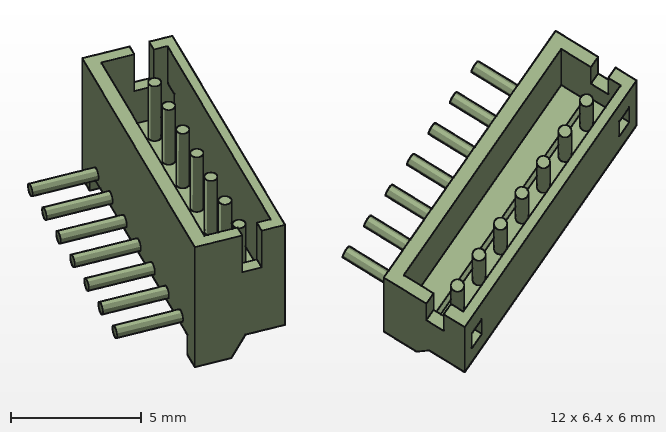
import cadquery as cq
import math

length = 12.0
depth = 3.7
height = 6.0
end_wall = 0.5
front_wall = 0.59
back_wall = 0.4

foot_width = 0.8
foot_height = 1.0
foot_bottom_depth = 1.5
slope_angle = math.radians(60)

low_floor = 2.0
step_width = 0.3
step_back = 1.95
high_floor = low_floor + step_width * math.tan(slope_angle)

notch_width = 0.79
notch_bottom = 4.16
window_width = 0.7

pin_count = 7
pin_pitch = 1.5
pin_diameter = 0.5
pin_y = 2.39
pin_top = 5.25
tail_z = 1.4
tail_length = 2.7


def box(x, y, z, size_x, size_y, size_z):
    """Box centred on x, starting at y and z."""
    return cq.Workplane("XY").box(size_x, size_y, size_z, centered=(True, False, False)).translate((x, y, z))


def side_profile(points, width):
    """Closed YZ outline extruded symmetrically about X = 0."""
    return cq.Workplane("YZ").polyline(points).close().extrude(width / 2, both=True)


def make_body():
    foot_slope_depth = foot_height / math.tan(slope_angle)
    outline = [
        (0, 0),
        (foot_bottom_depth, 0),
        (foot_bottom_depth + foot_slope_depth, foot_height),
        (depth, foot_height),
        (depth, height),
        (0, height),
    ]
    gap_between_feet = box(0, 0, 0, length - 2 * foot_width, depth, foot_height)
    return side_profile(outline, length).cut(gap_between_feet)


def make_cavity():
    outline = [
        (front_wall, low_floor),
        (step_back - step_width, low_floor),
        (step_back, high_floor),
        (depth - back_wall, high_floor),
        (depth - back_wall, height),
        (front_wall, height),
    ]
    return side_profile(outline, length - 2 * end_wall)


def make_pin(x):
    """L-shaped round pin: upright contact joined to a tail leaving the front."""
    radius = pin_diameter / 2
    contact = cq.Workplane("XY", origin=(x, pin_y, tail_z)).circle(radius).extrude(pin_top - tail_z)
    tail = cq.Workplane("XZ", origin=(x, pin_y, tail_z)).circle(radius).extrude(pin_y + tail_length)
    return contact.union(tail)


result = make_body().cut(make_cavity())

result = result.cut(box(0, step_back, notch_bottom, length, notch_width, height - notch_bottom))

window_x = length / 2 - end_wall - window_width / 2
for side in (-1, 1):
    window_height = notch_bottom - high_floor
    result = result.cut(
        box(side * window_x, depth - back_wall, high_floor, window_width, back_wall, window_height)
    )

for index in range(pin_count):
    result = result.union(make_pin((index - (pin_count - 1) / 2) * pin_pitch))